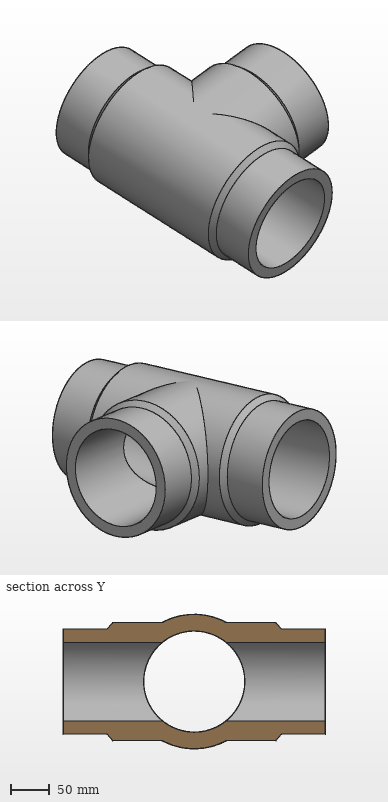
import cadquery as cq

run_length = 340.0
body_diameter = 174.8
spigot_diameter = 160.0
bore_diameter = 131.0
spigot_length = 56.8

half_length = run_length / 2
body_radius = body_diameter / 2
spigot_radius = spigot_diameter / 2
shoulder_chamfer = body_radius - spigot_radius
shoulder_start = half_length - spigot_length
body_end = shoulder_start - shoulder_chamfer

arm_profile = [
    (body_end, body_radius),
    (shoulder_start, spigot_radius),
    (half_length, spigot_radius),
    (half_length, 0),
]


def revolve_about_x(profile):
    """Solid of revolution about the X axis."""
    return cq.Workplane("XY").polyline(profile).close().revolve(360, (0, 0, 0), (1, 0, 0))


mirrored_profile = [(-x, radius) for x, radius in reversed(arm_profile)]
run = revolve_about_x(mirrored_profile + arm_profile)
branch = revolve_about_x([(0, 0), (0, body_radius)] + arm_profile).rotate((0, 0, 0), (0, 0, 1), 90)

run_bore = cq.Workplane("YZ").circle(bore_diameter / 2).extrude(half_length, both=True)
branch_bore = cq.Workplane("XZ").circle(bore_diameter / 2).extrude(-half_length)

result = run.union(branch).cut(run_bore).cut(branch_bore)